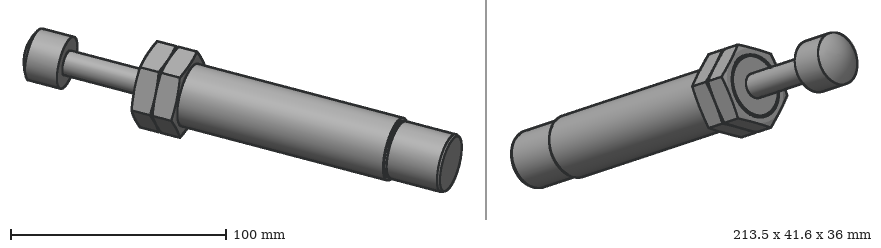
import cadquery as cq
import math

total_length = 213.5

button_diameter = 25.0
dome_height = 4.3
button_end = 20.3
rod_diameter = 12.0

barrel_diameter = 30.0
barrel_start = 60.6
barrel_end = 185.5
barrel_chamfer = 0.9

neck_diameter = 27.1
neck_length = 1.3
tail_diameter = 27.8
tail_chamfer_length = 1.3
tail_chamfer_depth = 0.6

nut_count = 2
nut_across_flats = 36.0
nut_across_corners = nut_across_flats / math.cos(math.pi / 6)
nut_thickness = 10.7
nut_face_diameter = 35.7
nut_chamfer_angle = math.radians(12)


def make_absorber():
    """Button, rod, barrel and tail, revolved as one body."""
    button_radius = button_diameter / 2
    rod_radius = rod_diameter / 2
    barrel_radius = barrel_diameter / 2
    neck_radius = neck_diameter / 2
    tail_radius = tail_diameter / 2
    neck_end = barrel_end + neck_length

    dome_radius = (button_radius**2 + dome_height**2) / (2 * dome_height)
    half_angle = math.asin(button_radius / dome_radius) / 2
    dome_middle = (
        dome_radius * (1 - math.cos(half_angle)),
        dome_radius * math.sin(half_angle),
    )

    profile = (
        cq.Workplane("XY")
        .moveTo(0, 0)
        .threePointArc(dome_middle, (dome_height, button_radius))
        .lineTo(button_end, button_radius)
        .lineTo(button_end, rod_radius)
        .lineTo(barrel_start, rod_radius)
        .lineTo(barrel_start, barrel_radius - barrel_chamfer)
        .lineTo(barrel_start + barrel_chamfer, barrel_radius)
        .lineTo(barrel_end, barrel_radius)
        .lineTo(barrel_end, neck_radius)
        .lineTo(neck_end, neck_radius)
        .lineTo(neck_end, tail_radius)
        .lineTo(total_length - tail_chamfer_length, tail_radius)
        .lineTo(total_length, tail_radius - tail_chamfer_depth)
        .lineTo(total_length, 0)
        .close()
    )
    return profile.revolve(360, (0, 0, 0), (1, 0, 0))


def make_nut(start):
    """Hexagonal nut with conically chamfered corners on both faces."""
    face_radius = nut_face_diameter / 2
    corner_radius = nut_across_corners / 2
    chamfer_length = (corner_radius - face_radius) * math.tan(nut_chamfer_angle)
    end = start + nut_thickness

    hexagon = (
        cq.Workplane("YZ", origin=(start, 0, 0))
        .polygon(6, nut_across_corners)
        .circle(barrel_diameter / 2)
        .extrude(nut_thickness)
    )
    chamfer_envelope = (
        cq.Workplane("XY")
        .moveTo(start, 0)
        .lineTo(start, face_radius)
        .lineTo(start + chamfer_length, corner_radius)
        .lineTo(end - chamfer_length, corner_radius)
        .lineTo(end, face_radius)
        .lineTo(end, 0)
        .close()
        .revolve(360, (0, 0, 0), (1, 0, 0))
    )
    return hexagon.intersect(chamfer_envelope)


absorber = make_absorber()
nuts = [make_nut(barrel_start + index * nut_thickness) for index in range(nut_count)]

result = cq.Compound.makeCompound([absorber.val(), *[nut.val() for nut in nuts]])